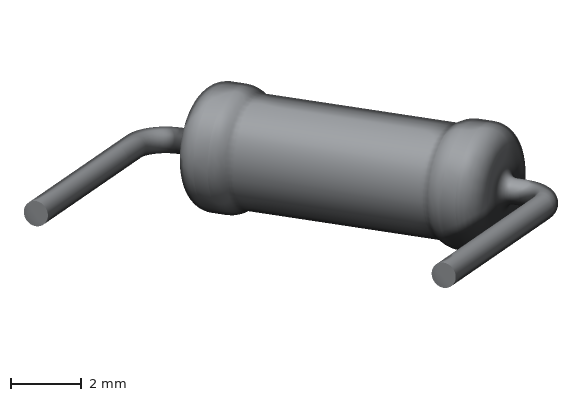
import cadquery as cq
import math

lead_diameter = 0.75
lead_pitch = 12.7
lead_reach = 7.5
bend_radius = 1.0
joint_distance = 2.18

casing_length = 9.5
cap_diameter = 3.75
barrel_diameter = 3.35
cap_edge_radius = 0.67
cap_land_length = 0.44
shoulder_radius = 0.86
neck_radius = 0.31
lead_fillet_radius = 0.3

lead_radius = lead_diameter / 2
cap_radius = cap_diameter / 2
barrel_radius = barrel_diameter / 2
casing_end = casing_length / 2
lead_x = lead_pitch / 2
bend_start_x = lead_x - bend_radius

cap_land_outer = casing_end - cap_edge_radius
cap_land_inner = cap_land_outer - cap_land_length

step_height = cap_radius - barrel_radius
step_angle = math.acos(1 - step_height / (shoulder_radius + neck_radius))
barrel_end = cap_land_inner - (shoulder_radius + neck_radius) * math.sin(step_angle)


def arc_point(center, radius, angle):
    """Point on a circle, with the angle in radians from +X."""
    return (center[0] + radius * math.cos(angle), center[1] + radius * math.sin(angle))


def make_barrel():
    """Plain cylinder between the two caps."""
    return (
        cq.Workplane("YZ", origin=(-barrel_end, 0, 0))
        .circle(barrel_radius)
        .extrude(2 * barrel_end)
    )


def make_cap():
    """Right cap, with its shoulder, its lead fillet and the straight lead up to the bend."""
    up = math.pi / 2
    shoulder_center = (cap_land_inner, cap_radius - shoulder_radius)
    shoulder_end = arc_point(shoulder_center, shoulder_radius, up + step_angle)
    shoulder_mid = arc_point(shoulder_center, shoulder_radius, up + step_angle / 2)

    neck_center = arc_point(shoulder_center, shoulder_radius + neck_radius, up + step_angle)
    neck_mid = arc_point(neck_center, neck_radius, -up + step_angle / 2)

    cap_edge_center = (cap_land_outer, cap_radius - cap_edge_radius)
    cap_edge_mid = arc_point(cap_edge_center, cap_edge_radius, math.pi / 4)

    fillet_end_x = casing_end + lead_fillet_radius
    fillet_top = lead_radius + lead_fillet_radius
    fillet_mid = arc_point((fillet_end_x, fillet_top), lead_fillet_radius, 5 * math.pi / 4)

    profile = (
        cq.Workplane("XY")
        .moveTo(barrel_end, 0)
        .lineTo(barrel_end, barrel_radius)
        .threePointArc(neck_mid, shoulder_end)
        .threePointArc(shoulder_mid, (cap_land_inner, cap_radius))
        .lineTo(cap_land_outer, cap_radius)
        .threePointArc(cap_edge_mid, (casing_end, cap_edge_center[1]))
        .lineTo(casing_end, fillet_top)
        .threePointArc(fillet_mid, (fillet_end_x, lead_radius))
        .lineTo(bend_start_x, lead_radius)
        .lineTo(bend_start_x, 0)
        .close()
    )
    return profile.revolve(360, (0, 0, 0), (1, 0, 0))


def make_straight_lead(x, start, end):
    """Round wire at the given X, running along -Y between two distances from the axis."""
    return (
        cq.Workplane("XZ", origin=(x, -start, 0))
        .circle(lead_radius)
        .extrude(end - start)
    )


def make_bent_lead(length):
    """Right lead: the quarter bend, then a straight run to the given distance from the axis."""
    bend = (
        cq.Workplane("YZ", origin=(bend_start_x, 0, 0))
        .circle(lead_radius)
        .revolve(90, (-bend_radius, 0, 0), (-bend_radius, -1, 0))
    )
    return bend.union(make_straight_lead(lead_x, bend_radius, length))


cap = make_cap()
resistor = (
    make_barrel()
    .union(cap)
    .union(cap.mirror("YZ"))
    .union(make_bent_lead(lead_reach))
    .union(make_bent_lead(joint_distance).mirror("YZ"))
)

lead_extension = make_straight_lead(-lead_x, joint_distance, lead_reach)

result = cq.Compound.makeCompound([resistor.val(), lead_extension.val()])